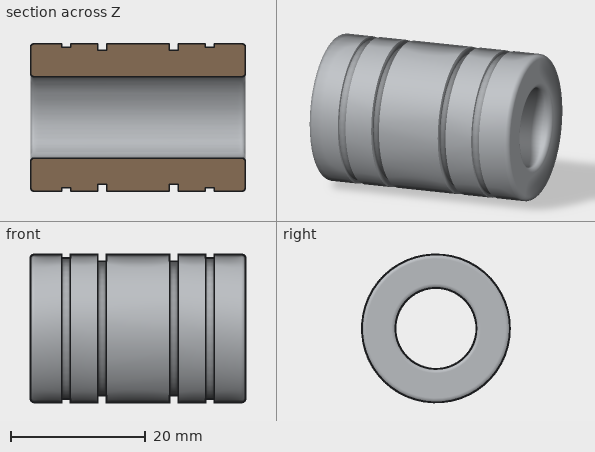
import cadquery as cq

length = 32.0
outer_diameter = 22.0
bore_diameter = 12.0
edge_radius = 0.65

groove_width = 1.25
shallow_groove_diameter = 21.0
shallow_groove_offset = 4.7
deep_groove_diameter = 20.0
deep_groove_offset = 10.05


def tube(start_x, tube_length, outside, inside):
    """Hollow cylinder along X, starting at start_x."""
    return (
        cq.Workplane("YZ", origin=(start_x, 0, 0))
        .circle(outside / 2)
        .circle(inside / 2)
        .extrude(tube_length)
    )


def cut_groove_pair(body, end_offset, floor_diameter):
    """Cut one ring groove near each end, mirrored about the YZ plane."""
    left_start = -length / 2 + end_offset
    right_start = -left_start - groove_width
    for start_x in (left_start, right_start):
        cutter_diameter = outer_diameter + edge_radius
        body = body.cut(tube(start_x, groove_width, cutter_diameter, floor_diameter))
    return body


sleeve = tube(-length / 2, length, outer_diameter, bore_diameter)
sleeve = sleeve.faces("<X or >X").edges().fillet(edge_radius)

sleeve = cut_groove_pair(sleeve, shallow_groove_offset, shallow_groove_diameter)
sleeve = cut_groove_pair(sleeve, deep_groove_offset, deep_groove_diameter)

result = sleeve